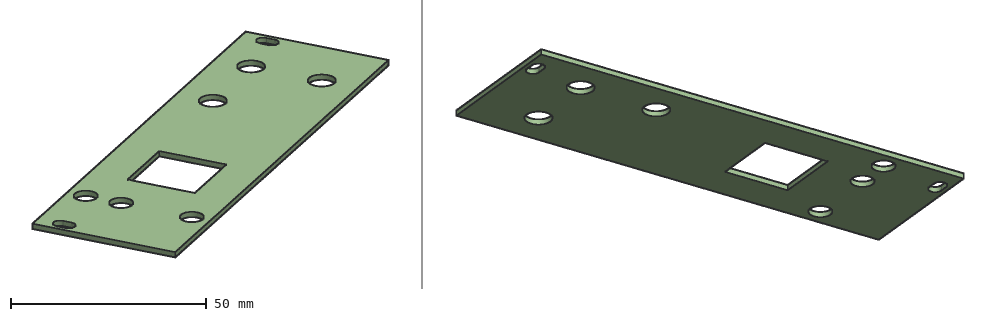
import cadquery as cq

width = 40.3
height = 128.0
thickness = 1.5

slot_length = 6.0
slot_width = 3.6
slot_from_left = 7.5
slot_from_edge = 3.1

column_pitch = 10.0
large_hole_diameter = 7.2
large_hole_upper_y = 45.6
large_hole_lower_y = 22.7
small_hole_diameter = 6.1
small_hole_y = -43.0

window_side = 19.0
window_y = -20.1

slot_x = slot_from_left - width / 2
slot_y = height / 2 - slot_from_edge
slot_points = [(slot_x, slot_y), (slot_x, -slot_y)]
large_hole_points = [
    (-column_pitch, large_hole_upper_y),
    (column_pitch, large_hole_upper_y),
    (-column_pitch, large_hole_lower_y),
]
small_hole_points = [(column * column_pitch, small_hole_y) for column in (-1.5, -0.5, 1.5)]


def panel_sketch():
    """Workplane on the underside of the panel, centered on its outline."""
    return cq.Workplane("XY").workplane(offset=-thickness / 2)


def round_cutters(points, diameter):
    return panel_sketch().pushPoints(points).circle(diameter / 2).extrude(thickness)


panel = panel_sketch().rect(width, height).extrude(thickness)
slots = panel_sketch().pushPoints(slot_points).slot2D(slot_length, slot_width).extrude(thickness)
window = panel_sketch().center(0, window_y).rect(window_side, window_side).extrude(thickness)
large_holes = round_cutters(large_hole_points, large_hole_diameter)
small_holes = round_cutters(small_hole_points, small_hole_diameter)

result = panel.cut(slots).cut(window).cut(large_holes).cut(small_holes)